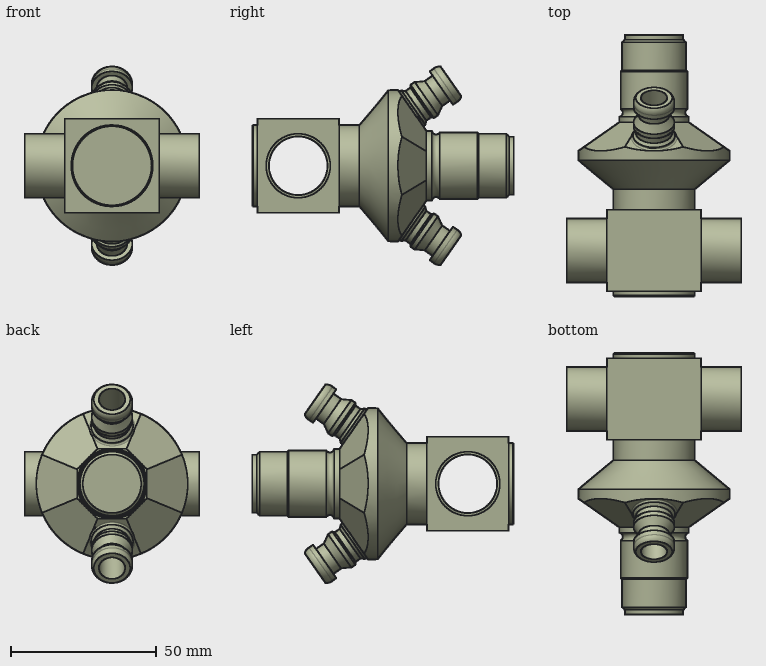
import cadquery as cq
import math

block_width = 32.3
block_depth = 28.0
pipe_length = 60.0
pipe_diameter = 22.0
pipe_bore = 20.0
plug_diameter = 28.0
plug_height = 1.8
plug_chamfer = 0.45

overall_length = 89.8
block_back = block_depth / 2
body_end = overall_length - block_back - plug_height
neck_radius = plug_diameter / 2
neck_end = 21.0
flange_radius = 52.0 / 2
flange_start = 31.0
facet_end = 44.0
collar_radius = 24.0 / 2
collar_end = 45.9
groove_radius = 10.8
groove_middle = 47.4
barrel_radius = 23.0 / 2
barrel_start = 48.6
barrel_end = 61.9
barrel_chamfer = 0.49
sleeve_radius = 22.0 / 2
sleeve_end = 71.4
tip_radius = 20.0 / 2
tip_start = 72.4

facet_count = 8
facet_tilt = 35.0
facet_slope = 1 / math.tan(math.radians(facet_tilt))

port_base_y = 38.8
port_base_z = collar_radius + facet_slope * (facet_end - port_base_y)
port_length = 16.6
port_bore = 9.0
port_root = 0.9
port_foot_radius = 14.5 / 2
port_foot_fillet = 0.5
port_foot_height = 0.9
port_groove_radius = 12.5 / 2
port_groove_start = 2.0
port_groove_end = 3.95
port_land_radius = 14.0 / 2
port_land_start = 4.6
port_land_end = 6.3
port_waist_radius = 10.5 / 2
port_waist_start = 9.3
port_head_start = 12.6
port_head_round = 2.3
port_face_radius = 12.5 / 2
port_rim_bulge = 0.3


def make_tee():
    block = cq.Workplane("XY").box(block_width, block_depth, block_width)
    pipe = cq.Workplane("YZ").circle(pipe_diameter / 2).extrude(pipe_length / 2, both=True)
    plug = (
        cq.Workplane("XZ", origin=(0, -block_back, 0))
        .circle(plug_diameter / 2)
        .extrude(plug_height)
        .faces("<Y")
        .chamfer(plug_chamfer)
    )
    bore = cq.Workplane("YZ").circle(pipe_bore / 2).extrude(pipe_length / 2, both=True)
    return block.union(pipe).union(plug).cut(bore)


def make_flange():
    """Double-sided flange: a cone towards the block, flat facets on the back."""
    turned = (
        cq.Workplane("XY")
        .moveTo(0, block_back)
        .lineTo(neck_radius, block_back)
        .lineTo(neck_radius, neck_end)
        .lineTo(flange_radius, flange_start)
        .lineTo(flange_radius, facet_end)
        .lineTo(0, facet_end)
        .close()
        .revolve(360, (0, 0, 0), (0, 1, 0))
    )
    half_facet = math.pi / facet_count
    base_apothem = collar_radius + facet_slope * (facet_end - block_back)

    def octagon(apothem, y):
        corner = apothem / math.cos(half_facet)
        angles = [half_facet * (2 * i + 1) for i in range(facet_count)]
        points = [cq.Vector(corner * math.cos(a), y, corner * math.sin(a)) for a in angles]
        return cq.Wire.makePolygon(points, close=True)

    pyramid = cq.Solid.makeLoft(
        [octagon(base_apothem, block_back), octagon(collar_radius, facet_end)], True
    )
    return turned.intersect(cq.Workplane(obj=pyramid))


def make_stem():
    return (
        cq.Workplane("XY")
        .moveTo(0, facet_end)
        .lineTo(collar_radius, facet_end)
        .lineTo(collar_radius, collar_end)
        .threePointArc((groove_radius, groove_middle), (barrel_radius, barrel_start))
        .lineTo(barrel_radius, barrel_end - barrel_chamfer)
        .lineTo(sleeve_radius, barrel_end)
        .lineTo(sleeve_radius, sleeve_end)
        .lineTo(tip_radius, tip_start)
        .lineTo(tip_radius, body_end)
        .lineTo(0, body_end)
        .close()
        .revolve(360, (0, 0, 0), (0, 1, 0))
    )


def port_plane(side):
    """Plane on a facet, its normal along the port; side is +1 (top) or -1 (bottom)."""
    tilt = math.radians(facet_tilt)
    return cq.Plane(
        origin=(0, port_base_y, side * port_base_z),
        xDir=(1, 0, 0),
        normal=(0, math.cos(tilt), side * math.sin(tilt)),
    )


def make_port(side):
    rim_middle = port_length - port_head_round / 2
    rim_radius = (port_face_radius + port_land_radius) / 2 + port_rim_bulge
    profile = (
        cq.Workplane("XZ")
        .moveTo(0, -port_root)
        .lineTo(port_foot_radius + port_foot_fillet, -port_root)
        .lineTo(port_foot_radius + port_foot_fillet, 0)
        .radiusArc((port_foot_radius, port_foot_fillet), port_foot_fillet)
        .lineTo(port_foot_radius, port_foot_height)
        .lineTo(port_groove_radius, port_groove_start)
        .lineTo(port_groove_radius, port_groove_end)
        .lineTo(port_land_radius, port_land_start)
        .lineTo(port_land_radius, port_land_end)
        .lineTo(port_waist_radius, port_waist_start)
        .lineTo(port_waist_radius, port_head_start)
        .lineTo(port_land_radius, port_head_start)
        .lineTo(port_land_radius, port_length - port_head_round)
        .threePointArc((rim_radius, rim_middle), (port_face_radius, port_length))
        .lineTo(0, port_length)
        .close()
    )
    nipple = profile.revolve(360, (0, 0, 0), (0, 1, 0))
    bore = cq.Workplane("XY").circle(port_bore / 2).extrude(port_length)
    return nipple.cut(bore).val().moved(cq.Location(port_plane(side)))


def make_valve_body():
    body = make_flange().union(make_stem())
    for side in (1, -1):
        body = body.union(cq.Workplane(obj=make_port(side)))
    return body


tee = make_tee()
valve_body = make_valve_body()

result = cq.Compound.makeCompound([tee.val(), valve_body.val()])